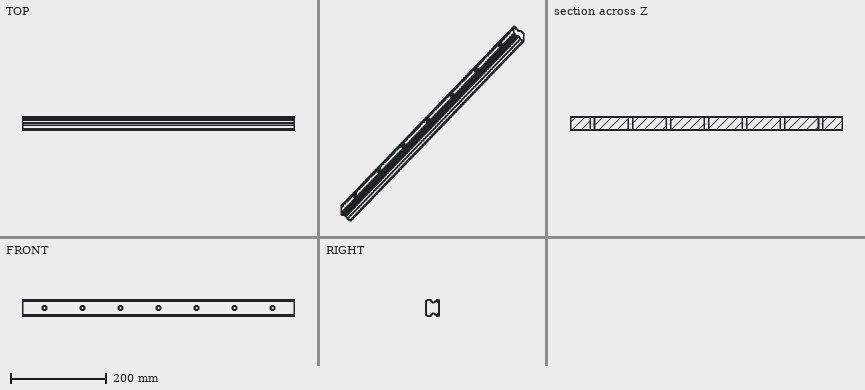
import cadquery as cq

length = 570
width = 27.5
height = 34

hole_count = 7
hole_pitch = 80
hole_diameter = 8.5

foot_chamfer = 3.0
foot_edge_y = -4.0

groove_bottom_y = 1.0
groove_floor_width = 1.5
groove_bottom_z = 11.5
shoulder_inner_y = 7.0
shoulder_outer_y = 8.0
shoulder_z = 14.0

lip_inner_y = 9.0
lip_chamfer = 1.0
notch_depth = 2.0
notch_top_z = 14.0
notch_bottom_z = 12.0

half_width = width / 2
half_height = height / 2

upper_outline = [
    (-half_width, half_height - foot_chamfer),
    (-half_width + foot_chamfer, half_height),
    (foot_edge_y, half_height),
    (groove_bottom_y - groove_floor_width / 2, groove_bottom_z),
    (groove_bottom_y + groove_floor_width / 2, groove_bottom_z),
    (shoulder_inner_y, shoulder_z),
    (shoulder_outer_y, shoulder_z),
    (lip_inner_y, half_height),
    (half_width - lip_chamfer, half_height),
    (half_width, half_height - lip_chamfer),
    (half_width, notch_top_z),
    (half_width - notch_depth, notch_top_z),
    (half_width - notch_depth, notch_bottom_z),
    (half_width, notch_bottom_z),
]
lower_outline = [(y, -z) for y, z in reversed(upper_outline)]

rail = (
    cq.Workplane("YZ")
    .polyline(upper_outline + lower_outline)
    .close()
    .extrude(length / 2, both=True)
)

holes = (
    cq.Workplane("XZ")
    .rarray(hole_pitch, 5.5, hole_count, 1)
    .circle(hole_diameter / 2)
    .extrude(width, both=True)
)

result = rail.cut(holes)